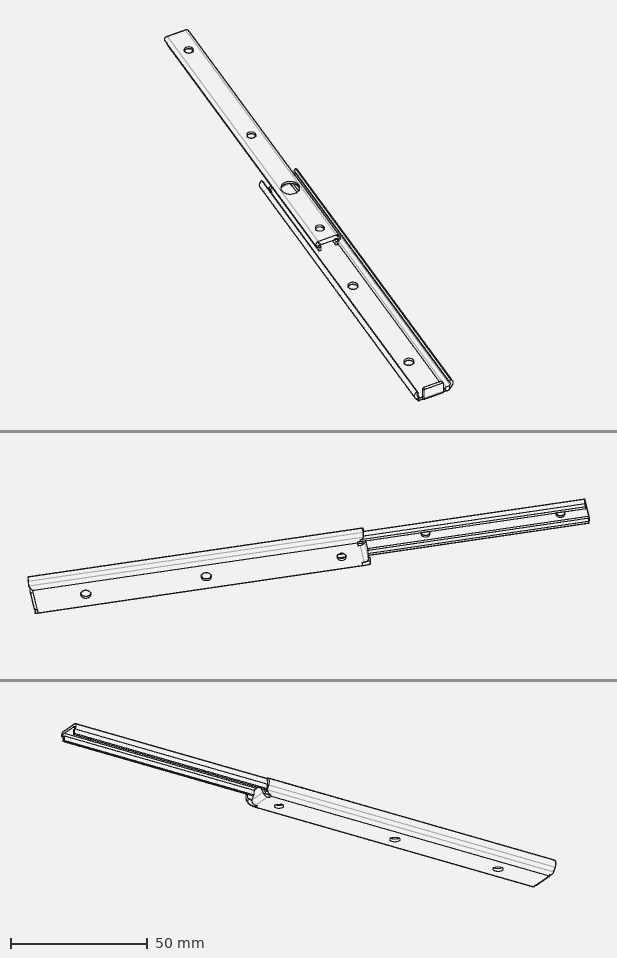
import cadquery as cq
import math

TOTAL_LENGTH = 206.5
TOTAL_WIDTH = 16.0

OUTER_START = 82.0
SHEET = 1.14
RACE_RADIUS = 2.3
RACE_Y = TOTAL_WIDTH / 2 - RACE_RADIUS
RACE_Z = 4.3
LIP_ANGLE = 56.0
RACE_END_ANGLE = -36.0
OUTER_HEIGHT = RACE_Z + RACE_RADIUS * math.sin(math.radians(LIP_ANGLE))
INNER_RISE = 1.28
TOTAL_HEIGHT = OUTER_HEIGHT + INNER_RISE
SLOPE_BOTTOM_Z = 1.55
FLOOR_HALF_WIDTH = 5.4
INSIDE_FLOOR_HALF_WIDTH = 5.2
FLOOR_ARC_BULGE = 0.15
FRONT_HOLE_X = 91.3
FRONT_HOLE_DIAMETER = 3.3
REAR_HOLE_X = (141.7, 186.5)
REAR_HOLE_DIAMETER = 3.7

TAB_THICKNESS = SHEET
TAB_WIDTH = 8.0
TAB_ROOT = 3.3
TAB_BEND_RADIUS = 1.7
REAR_TAB_TOP = 6.0
REAR_TAB_CORNER = 0.5
FRONT_TAB_TOP = 5.2
FRONT_TAB_TOP_WIDTH = 4.1
FRONT_TAB_WAIST_WIDTH = 5.4
FRONT_TAB_WAIST_Z = 3.3
FRONT_RELIEF_DEPTH = 2.5
REAR_RELIEF_DEPTH = 1.2
RELIEF_FLARE = 1.0
RELIEF_HALF_WIDTH = 5.4

INNER_LENGTH = 122.0
INNER_BOTTOM = 3.5
INNER_HALF_WIDTH = 5.0
CROWN_HALF_WIDTH = 3.7
BEAD_MIDDLE_Z = 6.5
BEAD_BOTTOM_Z = 5.4
FLANGE_HALF_WIDTH = 4.0
FLANGE_GROOVE_DEPTH = 0.1
FLANGE_THICKNESS = 0.93
WEB_THICKNESS = 1.0
END_CHAMFER = 1.0
INNER_HOLE_X = (10.0, 60.1, 115.0)
INNER_HOLE_DIAMETER = 3.3
ACCESS_HOLE_X = FRONT_HOLE_X
ACCESS_HOLE_DIAMETER = 6.8


def race_point(radius, angle):
    """Point (y, z) on the right-hand ball race."""
    turn = math.radians(angle)
    return (RACE_Y + radius * math.cos(turn), RACE_Z + radius * math.sin(turn))


def bulged_middle(start, end, bulge):
    """Middle point of an arc, pushed to the right of the way from start to end."""
    dy = end[0] - start[0]
    dz = end[1] - start[1]
    length = math.hypot(dy, dz)
    return (
        (start[0] + end[0]) / 2 + bulge * dz / length,
        (start[1] + end[1]) / 2 - bulge * dy / length,
    )


def mirrored_solid(half, start, length):
    """Extrude a half profile drawn at Y >= 0 along X and join it to its mirror image."""
    right = half.close().extrude(length).translate((start, 0, 0))
    return right.union(right.mirror("XZ"))


def drill(body, positions, diameter, bottom_z=0.0):
    """Cut vertical through holes on the centre line."""
    for x in positions:
        hole = cq.Workplane("XY", origin=(x, 0, bottom_z)).circle(diameter / 2).extrude(TOTAL_HEIGHT)
        body = body.cut(hole)
    return body


def outer_channel():
    """Floor, slopes and ball races of the outer rail, along its full length."""
    inside_radius = RACE_RADIUS - SHEET
    mid_angle = (LIP_ANGLE + RACE_END_ANGLE) / 2
    race_end = race_point(RACE_RADIUS, RACE_END_ANGLE)
    inside_race_end = race_point(inside_radius, RACE_END_ANGLE)

    turn = math.radians(-RACE_END_ANGLE)
    slope_run = (race_end[1] - SLOPE_BOTTOM_Z) * math.tan(turn)
    slope_bottom = (race_end[0] - slope_run, SLOPE_BOTTOM_Z)
    inside_slope_bottom = (
        slope_bottom[0] - SHEET * math.cos(turn),
        slope_bottom[1] + SHEET * math.sin(turn),
    )
    floor_edge = (FLOOR_HALF_WIDTH, 0)
    inside_floor_edge = (INSIDE_FLOOR_HALF_WIDTH, SHEET)
    half = (
        cq.Workplane("YZ")
        .lineTo(*floor_edge)
        .threePointArc(bulged_middle(floor_edge, slope_bottom, FLOOR_ARC_BULGE), slope_bottom)
        .lineTo(*race_end)
        .threePointArc(race_point(RACE_RADIUS, mid_angle), race_point(RACE_RADIUS, LIP_ANGLE))
        .lineTo(*race_point(inside_radius, LIP_ANGLE))
        .threePointArc(race_point(inside_radius, mid_angle), inside_race_end)
        .lineTo(*inside_slope_bottom)
        .lineTo(*inside_floor_edge)
        .lineTo(0, SHEET)
    )
    return mirrored_solid(half, OUTER_START, TOTAL_LENGTH - OUTER_START)


def end_relief(end_x, inward, depth):
    """Cutter that sets the floor back from one end, flaring towards the end."""
    flared = RELIEF_HALF_WIDTH + RELIEF_FLARE
    bottom_x = end_x + inward * depth
    return (
        cq.Workplane("XY")
        .polyline([
            (end_x, -flared),
            (end_x, flared),
            (bottom_x, RELIEF_HALF_WIDTH),
            (bottom_x, -RELIEF_HALF_WIDTH),
        ])
        .close()
        .extrude(TOTAL_HEIGHT)
    )


def bent_tab(end_x, inward, top_z):
    """Full-width tab rising from the floor at one end through a rounded bend."""
    inside_bend = TAB_BEND_RADIUS - TAB_THICKNESS

    def at(depth, z):
        """Point a given depth in from the end."""
        return (end_x + inward * depth, z)

    def on_bend(radius):
        """Middle of the bend at a radius about its centre."""
        reach = TAB_BEND_RADIUS - radius * math.sqrt(0.5)
        return at(reach, reach)

    return (
        cq.Workplane("XZ")
        .moveTo(*at(0, top_z))
        .lineTo(*at(0, TAB_BEND_RADIUS))
        .threePointArc(on_bend(TAB_BEND_RADIUS), at(TAB_BEND_RADIUS, 0))
        .lineTo(*at(TAB_ROOT, 0))
        .lineTo(*at(TAB_ROOT, SHEET))
        .lineTo(*at(TAB_BEND_RADIUS, SHEET))
        .threePointArc(on_bend(inside_bend), at(TAB_THICKNESS, TAB_BEND_RADIUS))
        .lineTo(*at(TAB_THICKNESS, top_z))
        .close()
        .extrude(TAB_WIDTH / 2, both=True)
    )


def front_tab():
    """Front tab, narrowing upwards so that it fits inside the inner rail."""
    half_widths = [
        (TAB_WIDTH / 2, 0),
        (TAB_WIDTH / 2, SHEET),
        (FRONT_TAB_WAIST_WIDTH / 2, FRONT_TAB_WAIST_Z),
        (FRONT_TAB_TOP_WIDTH / 2, FRONT_TAB_TOP),
    ]
    mirrored = [(-y, z) for y, z in reversed(half_widths)]
    outline = cq.Workplane("YZ").polyline(half_widths + mirrored).close().extrude(TOTAL_LENGTH)
    return bent_tab(OUTER_START, 1, FRONT_TAB_TOP).intersect(outline)


def rear_tab():
    """Rear tab, full width with chamfered top corners."""
    tab = bent_tab(TOTAL_LENGTH, -1, REAR_TAB_TOP)
    top_corners = cq.selectors.BoxSelector(
        (TOTAL_LENGTH - TAB_THICKNESS, -TAB_WIDTH, REAR_TAB_TOP - REAR_TAB_CORNER),
        (TOTAL_LENGTH, TAB_WIDTH, REAR_TAB_TOP + REAR_TAB_CORNER),
    )
    return tab.edges("|X").edges(top_corners).chamfer(REAR_TAB_CORNER)


def make_outer_rail():
    """Channel with a bent stop tab at each end and screw holes in the floor."""
    rail = outer_channel()
    rail = rail.cut(end_relief(OUTER_START, 1, FRONT_RELIEF_DEPTH))
    rail = rail.cut(end_relief(TOTAL_LENGTH, -1, REAR_RELIEF_DEPTH))
    rail = rail.union(front_tab()).union(rear_tab())
    rail = drill(rail, (FRONT_HOLE_X,), FRONT_HOLE_DIAMETER)
    return drill(rail, REAR_HOLE_X, REAR_HOLE_DIAMETER)


def inner_channel(web_bottom):
    """Web, rounded beads and grooved flanges of the inner rail."""
    bead_top = (CROWN_HALF_WIDTH, TOTAL_HEIGHT)
    bead_middle = (INNER_HALF_WIDTH, BEAD_MIDDLE_Z)
    bead_bottom = (FLANGE_HALF_WIDTH, BEAD_BOTTOM_Z)
    flange_foot = (FLANGE_HALF_WIDTH, INNER_BOTTOM)
    flange_inside = FLANGE_HALF_WIDTH - FLANGE_THICKNESS
    bead_inside = (INNER_HALF_WIDTH - FLANGE_THICKNESS, (BEAD_BOTTOM_Z + web_bottom) / 2)
    half = (
        cq.Workplane("YZ")
        .moveTo(0, TOTAL_HEIGHT)
        .lineTo(*bead_top)
        .threePointArc(bead_middle, bead_bottom)
        .threePointArc(bulged_middle(flange_foot, bead_bottom, -FLANGE_GROOVE_DEPTH), flange_foot)
        .lineTo(flange_inside, INNER_BOTTOM)
        .lineTo(flange_inside, BEAD_BOTTOM_Z)
        .threePointArc(bead_inside, (flange_inside, web_bottom))
        .lineTo(0, web_bottom)
    )
    return mirrored_solid(half, 0, INNER_LENGTH)


def end_bevel():
    """Cutter that bevels the top of the inner rail's rear end."""
    return (
        cq.Workplane("XZ")
        .polyline([
            (INNER_LENGTH, TOTAL_HEIGHT),
            (INNER_LENGTH - END_CHAMFER, TOTAL_HEIGHT),
            (INNER_LENGTH, TOTAL_HEIGHT - END_CHAMFER),
        ])
        .close()
        .extrude(TOTAL_WIDTH / 2, both=True)
    )


def make_inner_rail():
    """Channel with a bevelled rear end, screw holes and an access hole in the web."""
    web_bottom = TOTAL_HEIGHT - WEB_THICKNESS
    rail = inner_channel(web_bottom).cut(end_bevel())
    rail = drill(rail, INNER_HOLE_X, INNER_HOLE_DIAMETER)
    return drill(rail, (ACCESS_HOLE_X,), ACCESS_HOLE_DIAMETER, web_bottom)


outer_rail = make_outer_rail()
inner_rail = make_inner_rail()
result = cq.Compound.makeCompound([outer_rail.val(), inner_rail.val()])